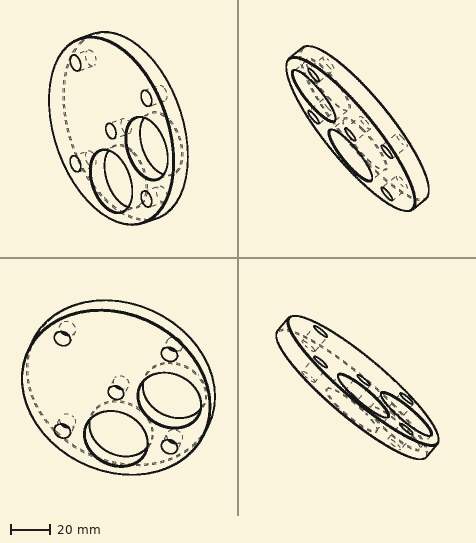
import cadquery as cq

disc_diameter = 100.0
thickness = 10.0
edge_chamfer = 0.5

hole_offset = 28.3
center_hole_diameter = 8.2
small_hole_diameter = 8.5
large_hole_diameter = 33.0

small_hole_centers = [
    (x, z) for x in (-hole_offset, hole_offset) for z in (-hole_offset, hole_offset)
]
large_hole_centers = [(hole_offset, 0), (0, -hole_offset)]


def through_cylinders(centers, diameter):
    """Cylinders spanning the disc thickness at the given (x, z) centres."""
    return (
        cq.Workplane("XZ", origin=(0, thickness / 2, 0))
        .pushPoints(centers)
        .circle(diameter / 2)
        .extrude(thickness)
    )


disc = through_cylinders([(0, 0)], disc_diameter)
disc = disc.cut(through_cylinders(large_hole_centers, large_hole_diameter))
disc = disc.faces("<Y or >Y").edges().chamfer(edge_chamfer)

disc = disc.cut(through_cylinders([(0, 0)], center_hole_diameter))
result = disc.cut(through_cylinders(small_hole_centers, small_hole_diameter))